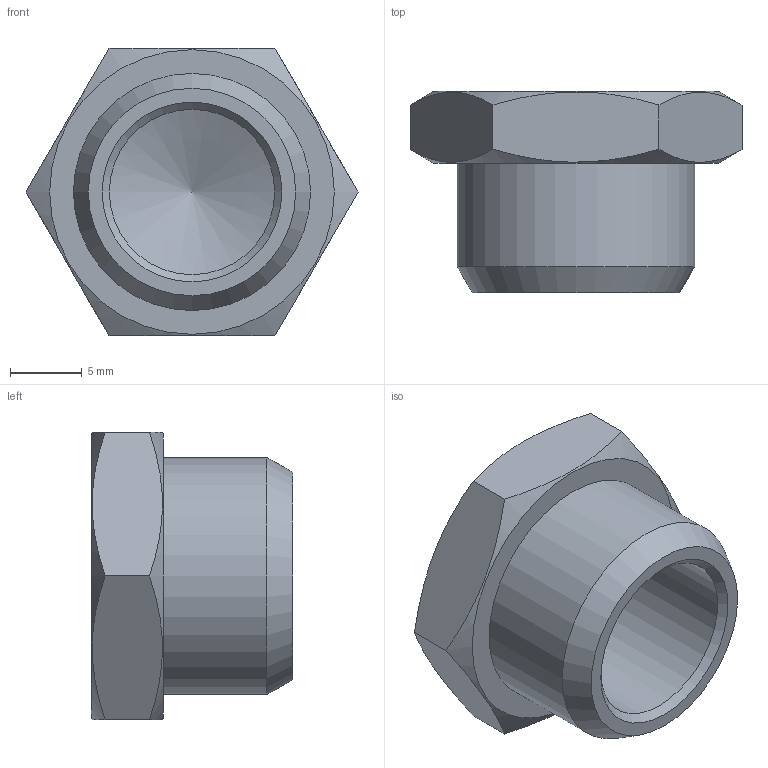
import cadquery as cq
import math

head_sides = 6
across_flats = 20.0
across_corners = across_flats / math.cos(math.radians(180 / head_sides))
head_thickness = 5.0
head_face_diameter = 19.8
head_chamfer_angle = 30.0

spigot_diameter = 16.5
spigot_length = 9.0
spigot_taper_length = 1.8
spigot_taper_angle = 30.0

bore_diameter = 11.5
bore_depth = 9.0
bore_mouth_chamfer = 0.5
drill_point_angle = 136.0


def revolve_about_y(points):
    """Revolve a closed (radius, y) outline around the Y axis."""
    return cq.Workplane("XY").polyline(points).close().revolve(360, (0, 0, 0), (0, 1, 0))


def make_head():
    """Hexagon with its corners on X, both faces chamfered by a cone."""
    prism = cq.Workplane("XZ").polygon(head_sides, across_corners).extrude(-head_thickness)
    face_radius = head_face_diameter / 2
    rim_radius = across_corners / 2
    corner_drop = (rim_radius - face_radius) * math.tan(math.radians(head_chamfer_angle))
    envelope = revolve_about_y([
        (0, 0),
        (face_radius, 0),
        (rim_radius, corner_drop),
        (rim_radius, head_thickness - corner_drop),
        (face_radius, head_thickness),
        (0, head_thickness),
    ])
    return prism.intersect(envelope)


def make_spigot():
    """Cylinder with a tapered free end."""
    radius = spigot_diameter / 2
    tip_radius = radius - spigot_taper_length * math.tan(math.radians(spigot_taper_angle))
    return revolve_about_y([
        (0, 0),
        (radius, 0),
        (radius, spigot_taper_length - spigot_length),
        (tip_radius, -spigot_length),
        (0, -spigot_length),
    ])


def make_bore():
    """Blind hole with a chamfered mouth and a conical drill point."""
    radius = bore_diameter / 2
    mouth_y = -spigot_length
    floor_y = mouth_y + bore_depth
    point_length = radius / math.tan(math.radians(drill_point_angle / 2))
    return revolve_about_y([
        (0, mouth_y),
        (radius + bore_mouth_chamfer, mouth_y),
        (radius, mouth_y + bore_mouth_chamfer),
        (radius, floor_y),
        (0, floor_y + point_length),
    ])


result = make_head().union(make_spigot()).cut(make_bore())